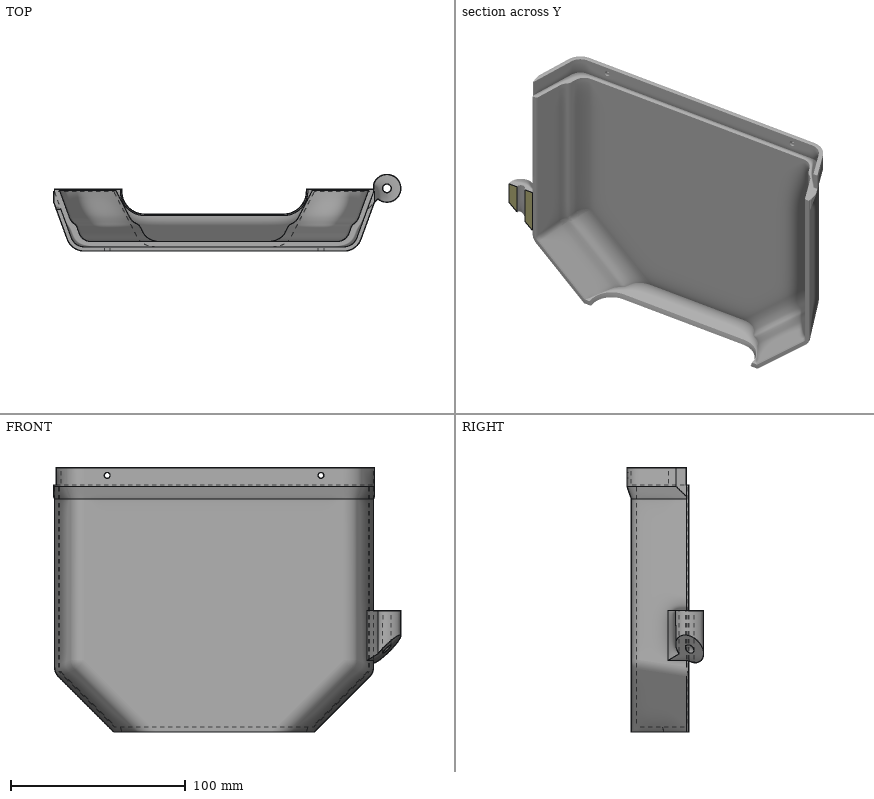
import cadquery as cq
import math

half_width = 91.4
depth = 33.0
ledge_z = 141.5
bottom_half_width = 57.4
draft = math.radians(20)
rim_depth = 1.4
edge_radius = 8.0

wall = 3.0
step_start = 16.3
step_angle = math.radians(33)
step_hollow_radius = 7.0
step_slope_length = 0.8
step_crest_radius = 3.5
cavity_corner_radius = 5.0
cavity_front_radius = 7.5
rim_chamfer = 0.6

opening_half_width = 52.8
opening_depth = 14.2
opening_radius = 13.0
opening_flare = 0.9

band_thickness = 2.5
band_top_z = 151.5
band_bottom_z = 140.7
flare_bottom_z = 133.6
band_half_width = 91.9
left_band_end = 11.5
band_hole_diameter = 3.2
band_hole_x = 61.2
band_hole_drop = 4.5

boss_x = 98.98
boss_y = 0.5
boss_radius = 8.0
boss_hole_diameter = 4.8
boss_top_z = 69.5
boss_base_z = 41.1
neck_y = -5.6

reach = 400.0
flat_tolerance = 0.01
floor_clearance = wall + 1

cos_d = math.cos(draft)
sin_d = math.sin(draft)
tan_d = math.tan(draft)
SIDE_DIRECTIONS = [(1, 0), (-1, 0)]
CORNER_DIRECTIONS = [(math.sqrt(0.5), -math.sqrt(0.5)), (-math.sqrt(0.5), -math.sqrt(0.5))]
corner_distance = bottom_half_width * math.sqrt(0.5)


def wall_frames():
    """Sketch planes for the two sides and two lower corners: local x outward, local y along Y."""
    frames = []
    for directions, distance in ((SIDE_DIRECTIONS, half_width), (CORNER_DIRECTIONS, corner_distance)):
        for dx, dz in directions:
            origin = (dx * distance, 0, dz * distance)
            frames.append(cq.Plane(origin=origin, xDir=(dx, 0, dz), normal=(-dz, 0, dx)))
    return frames


def enclose(draw_section, bottom_z):
    """Space behind all four walls, from bottom_z up to the ledge."""
    solid = cq.Workplane("XY").box(reach, reach, ledge_z - bottom_z, centered=(True, True, False))
    solid = solid.translate((0, 0, bottom_z))
    for frame in wall_frames():
        section = draw_section(cq.Workplane(frame)).close()
        solid = solid.intersect(section.extrude(reach, both=True))
    return solid


def outer_section(sketch):
    """Drafted outer wall with an undrafted strip at the open back."""
    return (
        sketch.moveTo(-reach, 0)
        .lineTo(0, 0)
        .lineTo(0, -rim_depth)
        .lineTo(-(depth - rim_depth) * tan_d, -depth)
        .lineTo(-reach, -depth)
    )


def cavity_section(sketch):
    """Drafted inner wall with a smooth step that thickens it towards the front."""
    front = depth - wall

    def inner_u(y_depth):
        return -wall / cos_d - (y_depth - rim_depth) * tan_d

    def advance(point, along, inward):
        """Move a point along the drafted wall towards the front, and inward square to it."""
        u, y = point
        return (u - along * sin_d - inward * cos_d, y - along * cos_d + inward * sin_d)

    def arc_move(radius):
        return (radius * math.sin(step_angle), radius * (1 - math.cos(step_angle)))

    slope_move = (step_slope_length * math.cos(step_angle), step_slope_length * math.sin(step_angle))
    start = (inner_u(step_start), -step_start)
    slope_start = advance(start, *arc_move(step_hollow_radius))
    slope_end = advance(slope_start, *slope_move)
    crest_end = advance(slope_end, *arc_move(step_crest_radius))
    front_u = crest_end[0] - (front + crest_end[1]) * tan_d
    return (
        sketch.moveTo(-reach, 0)
        .lineTo(inner_u(rim_chamfer) + rim_chamfer, 0)
        .lineTo(inner_u(rim_chamfer), -rim_chamfer)
        .lineTo(*start)
        .tangentArcPoint(slope_start, relative=False)
        .lineTo(*slope_end)
        .tangentArcPoint(crest_end, relative=False)
        .lineTo(front_u, -front)
        .lineTo(-reach, -front)
    )


def corner_edges(solid):
    """Edges where a side wall meets a lower corner wall."""
    found = []
    for edge in solid.edges().vals():
        box = edge.BoundingBox()
        clear_of_ends = floor_clearance < box.zmin and box.zmax < ledge_z - floor_clearance
        if box.ylen > flat_tolerance and clear_of_ends:
            found.append(edge)
    return found


def front_edges(solid, front_depth):
    """Edges around the flat front face, leaving out the level ones at its bottom and top."""
    found = []
    for edge in solid.edges().vals():
        box = edge.BoundingBox()
        lies_in_front = box.ymax < -front_depth + flat_tolerance
        if lies_in_front and box.zlen > flat_tolerance:
            found.append(edge)
    return found


def body():
    """Thin-walled cover: rounded outside less the cavity above the floor."""
    outer = enclose(outer_section, 0)
    outer = outer.newObject(corner_edges(outer) + front_edges(outer, depth)).fillet(edge_radius)
    cavity = enclose(cavity_section, wall)
    cavity = cavity.newObject(corner_edges(cavity)).fillet(cavity_corner_radius)
    cavity = cavity.newObject(front_edges(cavity, depth - wall)).fillet(cavity_front_radius)
    return outer.cut(cavity)


def add_outline(sketch, offset):
    """Horizontal outline of the drafted walls and front face, grown outward by offset."""
    front_corner_x = half_width - (depth - rim_depth) * tan_d
    centre_x = front_corner_x - edge_radius * math.tan((math.pi / 2 - draft) / 2)
    centre_y = edge_radius - depth
    radius = edge_radius + offset
    middle_angle = (math.pi / 2 + draft) / 2

    def on_arc(angle, side):
        return (side * (centre_x + radius * math.cos(angle)), centre_y - radius * math.sin(angle))

    back_x = half_width + offset / cos_d
    return (
        sketch.moveTo(-back_x, -rim_depth)
        .lineTo(*on_arc(draft, -1))
        .threePointArc(on_arc(middle_angle, -1), on_arc(math.pi / 2, -1))
        .lineTo(*on_arc(math.pi / 2, 1))
        .threePointArc(on_arc(middle_angle, 1), on_arc(draft, 1))
        .lineTo(back_x, -rim_depth)
        .close()
    )


def outline_prism(offset, bottom_z, top_z):
    """Upright solid of the grown outline between two heights."""
    sketch = cq.Workplane("XY").workplane(offset=bottom_z)
    return add_outline(sketch, offset).extrude(top_z - bottom_z)


def flared_band():
    """Flare that widens the body, with the thin band standing on its outer edge."""
    flare = add_outline(cq.Workplane("XY").workplane(offset=flare_bottom_z), 0)
    flare = flare.workplane(offset=band_bottom_z - flare_bottom_z)
    flare = add_outline(flare, band_thickness).loft(ruled=True)
    band = outline_prism(band_thickness, band_bottom_z, band_top_z)
    left_end = cq.Workplane("XY").box(reach, left_band_end, reach, centered=(True, False, False))
    left_end = left_end.translate((-reach / 2, -left_band_end, ledge_z))
    limits = cq.Workplane("XY").box(2 * band_half_width, reach, reach)
    solid = flare.union(band).cut(left_end).intersect(limits)
    return solid.cut(outline_prism(0, flare_bottom_z, band_top_z))


def band_holes():
    """Two round holes through the front of the band."""
    hole_z = band_top_z - band_hole_drop
    points = [(-band_hole_x, hole_z), (band_hole_x, hole_z)]
    holes = cq.Workplane("XZ", origin=(0, -depth / 2, 0)).pushPoints(points)
    return holes.circle(band_hole_diameter / 2).extrude(depth)


def floor_opening():
    """Rounded opening through the floor, growing slightly towards the top."""
    flare_angle = -math.degrees(math.atan(opening_flare / wall))
    opening = cq.Workplane("XY").sketch().rect(2 * opening_half_width, 2 * opening_depth)
    opening = opening.vertices().fillet(opening_radius).finalize()
    return opening.extrude(wall, taper=flare_angle)


def hinge_boss():
    """Round boss with a 45 degree neck, its underside sloping up away from the wall."""
    outboard = cq.Workplane("XY").box(reach, reach, reach, centered=(False, True, True))
    boss = cq.Workplane("XY").center(boss_x, boss_y).circle(boss_radius).extrude(boss_top_z)
    boss = boss.intersect(outboard.translate((half_width, 0, 0)))
    neck_x = boss_x - math.sqrt(boss_radius**2 - (neck_y - boss_y) ** 2)
    neck_run = (neck_x - half_width - (neck_y + rim_depth) * tan_d) / (1 - tan_d)
    neck = (
        cq.Workplane("XY")
        .moveTo(neck_x, neck_y)
        .lineTo(neck_x - neck_run, neck_y - neck_run)
        .lineTo(half_width, -rim_depth)
        .lineTo(half_width, boss_y)
        .lineTo(boss_x, boss_y)
        .close()
        .extrude(boss_top_z)
    )
    hole = cq.Workplane("XY").center(boss_x, boss_y).circle(boss_hole_diameter / 2).extrude(boss_top_z)
    away_from_wall = cq.Plane(
        origin=(half_width, -rim_depth, boss_base_z), xDir=(cos_d, -sin_d, 0), normal=(-sin_d, -cos_d, 0)
    )
    below_slope = (
        cq.Workplane(away_from_wall)
        .moveTo(-boss_base_z, -boss_base_z)
        .lineTo(boss_base_z, boss_base_z)
        .lineTo(boss_base_z, -boss_base_z)
        .close()
        .extrude(reach, both=True)
    )
    return boss.union(neck).cut(hole).cut(below_slope)


result = body().union(flared_band()).cut(band_holes()).cut(floor_opening()).union(hinge_boss())